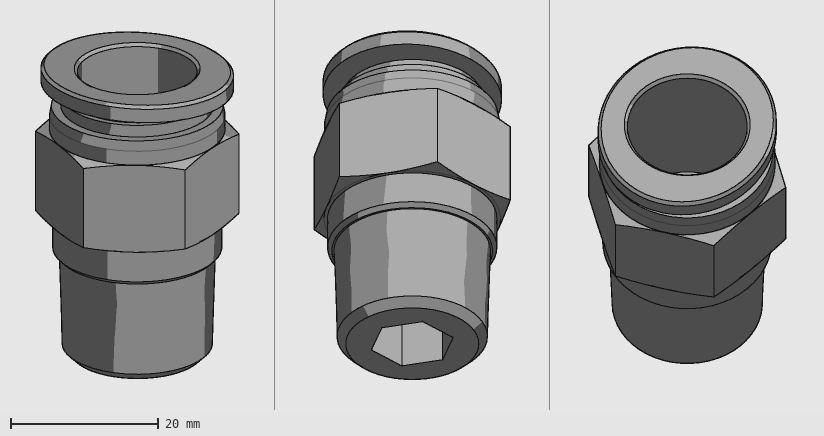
import cadquery as cq
import math

total_height = 42.2
collar_bottom = 39.8
neck_bottom = 38.45
shoulder_bottom = 36.7
sleeve_cone_bottom = 35.3
hex_top = 33.2
hex_bottom = 20.2
thread_top = 15.0

collar_length_x = 27.0
collar_length_y = 24.05
collar_chamfer = 0.42

neck_diameter = 19.07
shoulder_diameter = 20.8
sleeve_diameter = 23.9
sleeve_cone_diameter = 23.38

hex_corner_diameter = 27.73
hex_flat_width = hex_corner_diameter * math.cos(math.pi / 6)
hex_corner_drop = 0.6

base_diameter = 23.05
base_chamfer = 0.6
thread_top_diameter = 21.3
thread_bottom_diameter = 20.45
thread_chamfer = 1.2

bore_diameter = 16.3
bore_floor = hex_bottom
bore_chamfer = 0.42
key_flat_width = 10.0
key_corner_diameter = key_flat_width / math.cos(math.pi / 6)


def revolve_profile(points):
    """Turn a (radius, height) outline around the Z axis."""
    return cq.Workplane("XZ").polyline(points).close().revolve(360, (0, 0), (0, 1))


def hex_prism(corner_diameter, bottom, top):
    """Hexagonal prism with two corners on the Y axis."""
    prism = cq.Workplane("XY").polygon(6, corner_diameter).extrude(top - bottom)
    return prism.rotate((0, 0, 0), (0, 0, 1), 90).translate((0, 0, bottom))


def turned_body():
    """Everything round, from the thread end up to the neck under the collar."""
    thread_end_radius = thread_bottom_diameter / 2 - thread_chamfer
    return revolve_profile([
        (0, 0),
        (thread_end_radius, 0),
        (thread_bottom_diameter / 2, thread_chamfer),
        (thread_top_diameter / 2, thread_top),
        (base_diameter / 2 - base_chamfer, thread_top),
        (base_diameter / 2, thread_top + base_chamfer),
        (base_diameter / 2, hex_top),
        (sleeve_diameter / 2, hex_top),
        (sleeve_diameter / 2, sleeve_cone_bottom),
        (sleeve_cone_diameter / 2, shoulder_bottom),
        (shoulder_diameter / 2, shoulder_bottom),
        (shoulder_diameter / 2, neck_bottom),
        (neck_diameter / 2, neck_bottom),
        (neck_diameter / 2, collar_bottom),
        (0, collar_bottom),
    ])


def wrench_hexagon():
    """Hexagon whose corners are turned down by a shallow cone at both ends."""
    corner_radius = hex_corner_diameter / 2
    flat_radius = hex_flat_width / 2
    envelope = revolve_profile([
        (0, hex_bottom),
        (flat_radius, hex_bottom),
        (corner_radius, hex_bottom + hex_corner_drop),
        (corner_radius, hex_top - hex_corner_drop),
        (flat_radius, hex_top),
        (0, hex_top),
    ])
    return hex_prism(hex_corner_diameter, hex_bottom, hex_top).intersect(envelope)


def release_collar():
    """Oval flange at the open end, chamfered around its top edge."""
    flange = (
        cq.Workplane("XY", origin=(0, 0, collar_bottom))
        .ellipse(collar_length_x / 2, collar_length_y / 2)
        .extrude(total_height - collar_bottom)
    )
    return flange.faces(">Z").edges().chamfer(collar_chamfer)


def tube_bore():
    """Round cavity for the tube, flared at the mouth."""
    bore_radius = bore_diameter / 2
    return revolve_profile([
        (0, bore_floor),
        (bore_radius, bore_floor),
        (bore_radius, total_height - bore_chamfer),
        (bore_radius + bore_chamfer, total_height),
        (0, total_height),
    ])


key_passage = hex_prism(key_corner_diameter, 0, bore_floor)
body = turned_body().union(wrench_hexagon()).union(release_collar())
result = body.cut(tube_bore()).cut(key_passage)